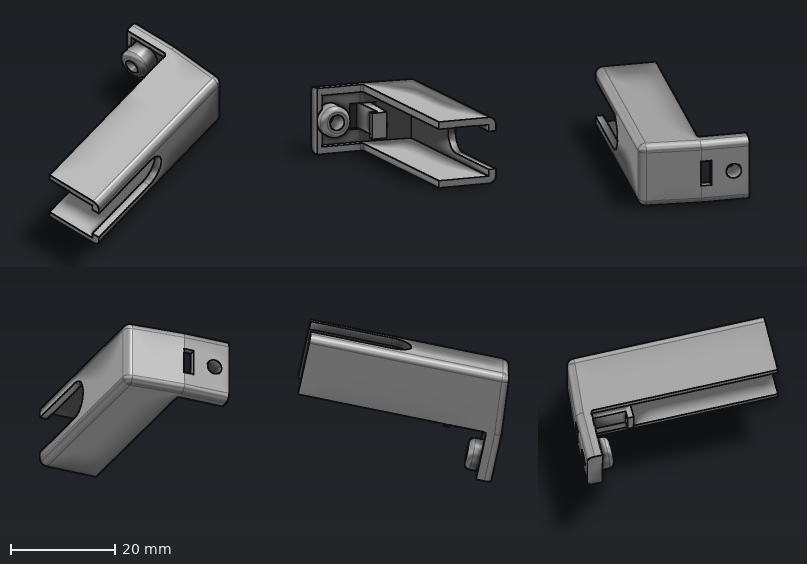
import cadquery as cq

length = 40.0
width = 21.5
height = 13.0
bend_x = 9.55
back_drop = 0.95
lip_depth = 3.05
inner_corner_radius = 0.5
edge_radius = 1.5

back_slope = back_drop / (width - bend_x)

right_wall = 1.55
left_wall = 1.05
plate_wall = 1.45
back_wall = 1.5

slot_width = 7.45
slot_start = -20.3

boss_radius = 3.1
boss_x = boss_radius
boss_front = -5.5
boss_round = 1.05
bore_radius = 1.5

latch_width = 5.1
window_left = 7.5
hook_tip_x = 8.1
arm_left = bend_x
arm_tip_right = 11.1
arm_root_right = 11.85
arm_front = -11.1
hook_back = -9.9
root_radius = 0.95
rib_width = 0.95
rib_root_x = 13.7
rib_front = -11.35


def prism(outline, thickness):
    """Extrude an XY outline evenly about the Z = 0 midplane."""
    return outline.close().extrude(thickness / 2, both=True)


def y_cylinder(x, radius, y_start, y_end):
    """Cylinder along -Y, centred in Z."""
    return cq.Workplane("XZ", origin=(x, y_start, 0)).circle(radius).extrude(y_start - y_end)


def outer_body():
    outline = (
        cq.Workplane("XY")
        .lineTo(bend_x, 0)
        .lineTo(width, -back_drop)
        .lineTo(width, -length)
        .lineTo(bend_x, -length)
        .lineTo(bend_x, -lip_depth)
        .lineTo(0, -lip_depth)
    )
    body = prism(outline, height)
    inner_corner = cq.selectors.NearestToPointSelector((bend_x, -lip_depth, 0))
    body = body.edges("|Z").edges(inner_corner).fillet(inner_corner_radius)
    back_edges = body.faces(">Y").edges("|X").vals()
    side_edges = body.faces(">X").edges("|Y or >Y").vals()
    slope_center = ((bend_x + width) / 2, -back_drop / 2, 0)
    sloped_back = body.faces(cq.selectors.NearestToPointSelector(slope_center))
    slope_edges = sloped_back.edges("not |Z").vals()
    return body.newObject(back_edges + side_edges + slope_edges).fillet(edge_radius)


def inner_back_y(x):
    """Y of the sloped inner face of the back wall."""
    return -back_wall - back_slope * (x - bend_x)


def cavity():
    inner_right = width - right_wall
    outline = (
        cq.Workplane("XY")
        .moveTo(left_wall, -back_wall)
        .lineTo(bend_x, -back_wall)
        .lineTo(inner_right, inner_back_y(inner_right))
        .lineTo(inner_right, -length)
        .lineTo(left_wall, -length)
    )
    return prism(outline, height - 2 * plate_wall)


def side_slot():
    radius = slot_width / 2
    outline = (
        cq.Workplane("YZ", origin=(width - 2 * right_wall, 0, 0))
        .moveTo(-length, radius)
        .lineTo(slot_start - radius, radius)
        .threePointArc((slot_start, 0), (slot_start - radius, -radius))
        .lineTo(-length, -radius)
    )
    return outline.close().extrude(3 * right_wall)


def boss():
    post = y_cylinder(boss_x, boss_radius, -back_wall / 2, boss_front)
    return post.faces("<Y").edges().fillet(boss_round)


def latch_arm():
    root_y = inner_back_y(arm_root_right)
    outline = (
        cq.Workplane("XY")
        .moveTo(arm_left, -back_wall / 2)
        .lineTo(arm_left, hook_back)
        .lineTo(hook_tip_x, hook_back)
        .lineTo(hook_tip_x, arm_front)
        .lineTo(arm_tip_right, arm_front)
        .lineTo(arm_root_right, root_y)
        .lineTo(arm_root_right, -back_wall)
    )
    return prism(outline, latch_width)


def latch_rib():
    outline = (
        cq.Workplane("XY")
        .moveTo(arm_left, -back_wall)
        .lineTo(arm_left, arm_front)
        .lineTo(arm_tip_right, arm_front)
        .lineTo(arm_tip_right, rib_front)
        .lineTo(rib_root_x, inner_back_y(rib_root_x))
        .lineTo(rib_root_x, -back_wall)
    )
    return prism(outline, rib_width)


def latch_window():
    window_width = arm_left - window_left
    window = cq.Workplane("XY").box(window_width, 2 * lip_depth, latch_width)
    return window.translate((window_left + window_width / 2, 0, 0))


shell = outer_body().cut(cavity()).cut(side_slot()).cut(latch_window())
with_arm = shell.union(latch_arm())

arm_root = cq.selectors.NearestToPointSelector((arm_root_right, inner_back_y(arm_root_right), 0))
with_arm = with_arm.edges("|Z").edges(arm_root).fillet(root_radius)

result = (
    with_arm
    .union(latch_rib())
    .union(boss())
    .cut(y_cylinder(boss_x, bore_radius, 0, boss_front))
)